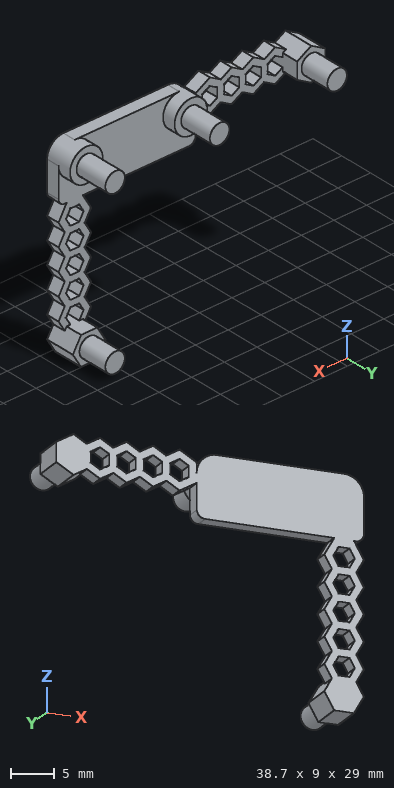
import cadquery as cq
import math

boss_spacing = 16.0
boss_radius = 2.5
boss_length = 4.0
plate_height = 8.0
plate_thickness = 2.0
lower_corner_radius = 1.0
pin_radius = 1.5
pin_end = 9.0
end_block_length = 4.5
cell_radius = boss_radius
cell_wall = 1.0
side_arm_holes = 4
lower_arm_holes = 5

cell_flats = cell_radius * math.sqrt(3)
cell_pitch = cell_flats - cell_wall
hole_flats = cell_flats - 2 * cell_wall
hole_radius = hole_flats / math.sqrt(3)
plate_left = -boss_radius
plate_right = boss_spacing + boss_radius
plate_top = boss_radius
plate_bottom = plate_top - plate_height
left_boss = (0, 0)
right_boss = (boss_spacing, 0)

FLATS_ACROSS_X = 0
FLATS_ACROSS_Z = 30


def cylinder(center, radius, length):
    """Round bar from the front face toward +Y."""
    return cq.Workplane("XZ").center(*center).circle(radius).extrude(-length)


def hexagon(center, radius, turn, length):
    """Hexagonal bar from the front face toward +Y."""
    sketch = cq.Sketch().regularPolygon(radius, 6, angle=turn)
    return cq.Workplane("XZ").center(*center).placeSketch(sketch).extrude(-length)


def plate():
    """Flat plate with large upper corners around the bosses and small lower corners."""
    body = (
        cq.Workplane("XZ")
        .moveTo(plate_left, plate_bottom)
        .lineTo(plate_right, plate_bottom)
        .lineTo(plate_right, 0)
        .radiusArc((boss_spacing, plate_top), -boss_radius)
        .lineTo(0, plate_top)
        .radiusArc((plate_left, 0), -boss_radius)
        .close()
        .extrude(-plate_thickness)
    )
    lower_corners = body.faces("<Z").edges("|Y")
    return lower_corners.fillet(lower_corner_radius)


def pin_with_boss(center):
    """Pin standing on a round boss."""
    return cylinder(center, boss_radius, boss_length).union(cylinder(center, pin_radius, pin_end))


def arm(first_cell, step, holes, turn):
    """Row of open hexagonal cells ending in a solid hexagonal block with a pin."""
    centers = [(first_cell[0] + i * step[0], first_cell[1] + i * step[1]) for i in range(holes + 1)]
    end_center = centers.pop()
    body = hexagon(end_center, cell_radius, turn, end_block_length)
    body = body.union(cylinder(end_center, pin_radius, pin_end))
    for center in centers:
        body = body.union(hexagon(center, cell_radius, turn, plate_thickness))
    for center in centers:
        body = body.cut(hexagon(center, hole_radius, turn, plate_thickness))
    return body


side_arm = arm((plate_left - cell_flats / 2, 0), (-cell_pitch, 0), side_arm_holes, FLATS_ACROSS_X)
lower_arm = arm(
    (boss_spacing, plate_bottom - cell_flats / 2), (0, -cell_pitch), lower_arm_holes, FLATS_ACROSS_Z
)

result = plate()
for boss in (left_boss, right_boss):
    result = result.union(pin_with_boss(boss))
result = result.union(side_arm).union(lower_arm)